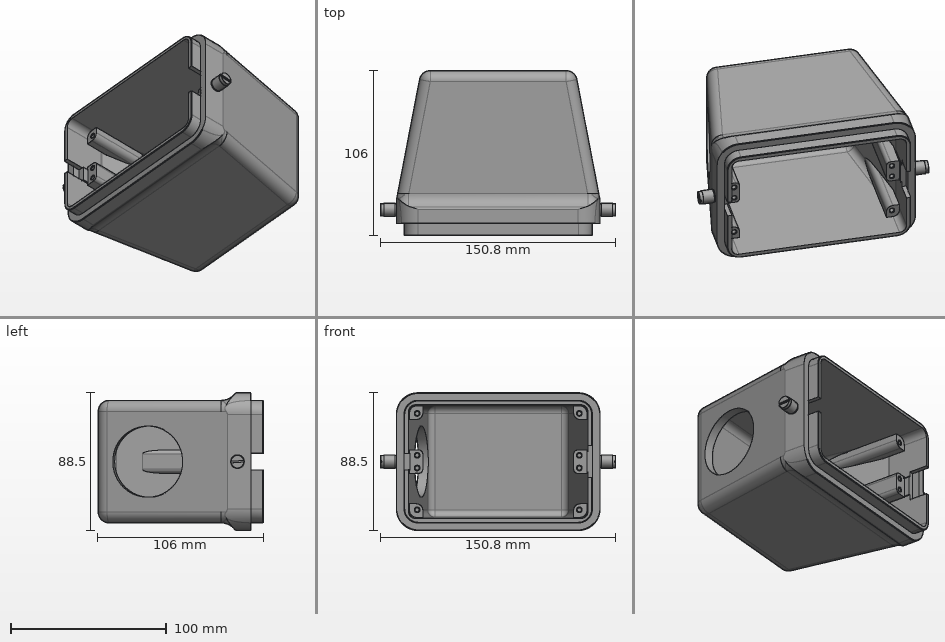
import cadquery as cq
import math


total_width = 150.8
total_depth = 106.0
flange_height = 88.5
flange_width = 130.7

collar_width = 121.0
collar_height = 78.7
collar_depth = 7.8
collar_corner = 9.0
flange_corner = 14.0
flange_back = 16.9
flare_end = 27.1
rim_round = 1.8
edge_break = 0.5

taper_start = 23.0
body_back_width = 99.0
body_round = 7.1

mouth_width = 115.2
mouth_height = 73.1
floor_width = 89.0
floor_height = 71.2
cavity_depth = 98.0
cavity_round = 4.7

pillar_face = 16.9
pillar_inner_x = 48.4
pillar_outer_x = 56.9
corner_pillar_inner_z = 27.0
corner_pillar_outer_z = 35.7
middle_pillar_height = 15.1
middle_pillar_round = 2.7
corner_pillar_round = 4.2
screw_x = 52.0
corner_screw_z = 30.9
middle_screw_z = 4.0
screw_diameter = 2.7
screw_countersink = 0.5
screw_depth = 12.0

cable_hole_diameter = 45.7
cable_hole_y = 74.2
cable_hole_reach = 18.1

left_notch_height = 10.5
left_ledge_x = 56.5
right_notch_height = 20.7
right_ledge_height = 13.5
notch_depth = 13.0

pin_y = 16.6
pin_diameter = 8.7
pin_neck_diameter = 8.1
pin_neck_length = 0.8
pin_cap_length = 2.1
pin_slot_width = 1.0
pin_slot_depth = 0.6
pin_slot_tilt = -4.0

body_height = collar_height
flare_rise = (flange_height - body_height) / 2
flare_length = flare_end - flange_back
flare_radius = (flare_length**2 + flare_rise**2) / (2 * flare_rise) - rim_round
flare_angle = math.asin(flare_length / (flare_radius + rim_round))
end_slope = (flange_width - body_back_width) / 2 / (total_depth - taper_start)
cavity_taper_start = cavity_depth - (mouth_width - floor_width) / 2 / end_slope


def box(x0, x1, y0, y1, z0, z1):
    """Box spanning the given limits."""
    return cq.Workplane("XY").box(x1 - x0, y1 - y0, z1 - z0, centered=False).translate((x0, y0, z0))


def rounded_block(width, height, corner, y0, y1):
    """Block along Y with a rounded rectangular section."""
    block = cq.Workplane("XY").box(width, y1 - y0, height).edges("|Y").fillet(corner)
    return block.translate((0, (y0 + y1) / 2, 0))


def make_body():
    """Tapered body with rounded edges, its wide end trimmed to the flange outline."""
    front_width = body_back_width + 2 * end_slope * total_depth
    outline = [
        (-front_width / 2, 0),
        (front_width / 2, 0),
        (body_back_width / 2, total_depth),
        (-body_back_width / 2, total_depth),
    ]
    body = cq.Workplane("XY").polyline(outline).close().extrude(body_height / 2, both=True)
    body = body.edges("not <Y").fillet(body_round)
    behind_collar = rounded_block(flange_width, flange_height, flange_corner, collar_depth, total_depth)
    return body.intersect(behind_collar)


def flare_section(plane):
    """Flange section: flat rim, rounded edge, then a hollow curve running out on the body."""
    rim = body_round + flare_rise

    def round_point(angle):
        return (rim - rim_round * (1 - math.cos(angle)), flange_back + rim_round * math.sin(angle))

    def hollow_point(angle):
        return (body_round + flare_radius * (1 - math.cos(angle)), flare_end - flare_radius * math.sin(angle))

    return (
        cq.Workplane(plane)
        .moveTo(0, collar_depth)
        .lineTo(rim, collar_depth)
        .lineTo(rim, flange_back)
        .threePointArc(round_point(flare_angle / 2), round_point(flare_angle))
        .threePointArc(hollow_point(flare_angle / 2), (body_round, flare_end))
        .lineTo(0, flare_end)
        .close()
    )


def make_flange():
    """Flange whose back flares down to the body along the long sides and round the corners."""
    axis_x = body_back_width / 2 + end_slope * (total_depth - flare_end) - body_round
    axis_z = body_height / 2 - body_round
    long_side = flare_section(cq.Plane((0, 0, axis_z), (0, 0, 1), (-1, 0, 0))).extrude(axis_x, both=True)
    flange = long_side.union(long_side.mirror("XY"))
    column = flare_section("XY").revolve(360, (0, 0, 0), (0, 1, 0))
    for x in (-axis_x, axis_x):
        for z in (-axis_z, axis_z):
            flange = flange.union(column.translate((x, 0, z)))
    rim = rounded_block(flange_width, flange_height, flange_corner, collar_depth, flare_end)
    rim = rim.faces("<Y").chamfer(edge_break)
    lower = rounded_block(flange_width, flange_height, flange_corner, collar_depth, flange_back)
    return flange.union(lower).intersect(rim)


def make_collar():
    """Collar around the mouth, reaching back into the flange."""
    collar = rounded_block(collar_width, collar_height, collar_corner, 0, flange_back)
    return collar.faces("<Y").chamfer(edge_break)


def make_cavity():
    """Cavity whose end walls run straight, then lean inward; its long walls are slightly drafted."""
    outline = [
        (-mouth_width / 2, 0),
        (mouth_width / 2, 0),
        (mouth_width / 2, cavity_taper_start),
        (floor_width / 2, cavity_depth),
        (-floor_width / 2, cavity_depth),
        (-mouth_width / 2, cavity_taper_start),
    ]
    cavity = cq.Workplane("XY").polyline(outline).close().extrude(mouth_height / 2, both=True)
    draft = [
        (0, -mouth_height / 2),
        (0, mouth_height / 2),
        (cavity_depth, floor_height / 2),
        (cavity_depth, -floor_height / 2),
    ]
    drafted = cq.Workplane("YZ").polyline(draft).close().extrude(mouth_width / 2, both=True)
    cavity = cavity.intersect(drafted)
    return cavity.edges("not <Y").fillet(cavity_round)


def pillar(z0, z1, rounded, radius):
    """Pillar along +Y at the +X end, with the chosen long edges rounded."""
    block = box(pillar_inner_x, pillar_outer_x, pillar_face, cavity_depth, z0, z1)
    return block.edges(rounded).fillet(radius)


def make_pillars(body):
    """Three pillars at each end, running from the pillar face into the leaning walls."""
    half_middle = middle_pillar_height / 2
    middle = pillar(-half_middle, half_middle, "|Y and <X", middle_pillar_round)
    opposite_edges = "(|Y and <X and <Z) or (|Y and >X and >Z)"
    corner = pillar(corner_pillar_inner_z, corner_pillar_outer_z, opposite_edges, corner_pillar_round)
    pillars = middle.union(corner).union(corner.mirror("XY"))
    return pillars.union(pillars.mirror("YZ")).intersect(body)


def make_screw_holes():
    """Blind holes in the pillar faces, each with a small countersink."""
    heights = (-corner_screw_z, -middle_screw_z, middle_screw_z, corner_screw_z)
    points = [(x, z) for x in (-screw_x, screw_x) for z in heights]
    face = cq.Workplane(cq.Plane((0, pillar_face, 0), (1, 0, 0), (0, -1, 0)))
    holes = face.pushPoints(points).circle(screw_diameter / 2).extrude(-screw_depth)
    rim = screw_diameter / 2 + screw_countersink
    cone = cq.Solid.makeCone(rim, screw_diameter / 2, screw_countersink, dir=cq.Vector(0, 1, 0))
    for x, z in points:
        holes = holes.union(cq.Workplane(cone.moved(cq.Location(cq.Vector(x, pillar_face, z)))))
    return holes


def make_cable_hole():
    """Round hole square to the leaning -X end wall."""
    wall_x = -body_back_width / 2 - end_slope * (total_depth - cable_hole_y)
    outward = (-1, end_slope, 0)
    wall = cq.Workplane(cq.Plane((wall_x, cable_hole_y, 0), (0, 0, 1), outward))
    return wall.circle(cable_hole_diameter / 2).extrude(cable_hole_reach, both=True)


def make_notches():
    """Notches at the middle of the collar ends, recessed on into the wall behind."""
    half_left = left_notch_height / 2
    half_right = right_notch_height / 2
    left = box(-collar_width / 2, -left_ledge_x, 0, notch_depth, -half_left, half_left)
    right = box(pillar_outer_x, collar_width / 2, 0, notch_depth, -half_right, half_right)
    return left.union(right)


def make_ledges():
    """Fillers joining the middle pillars to the end walls at the bottom of the notches."""
    half_left = left_notch_height / 2
    half_right = right_ledge_height / 2
    left = box(-collar_width / 2, -left_ledge_x, notch_depth, cavity_taper_start, -half_left, half_left)
    right = box(pillar_outer_x, collar_width / 2, notch_depth, cavity_taper_start, -half_right, half_right)
    return left.union(right)


def make_pin():
    """Locking pin on +X: necked at the wall, stepped down to a slotted cap at the tip."""
    tip = total_width / 2
    shank_start = flange_width / 2 + pin_neck_length
    shank_end = tip - pin_cap_length
    core = cq.Workplane("YZ", (collar_width / 2, pin_y, 0))
    core = core.circle(pin_neck_diameter / 2).extrude(tip - collar_width / 2)
    shank = cq.Workplane("YZ", (shank_start, pin_y, 0))
    shank = shank.circle(pin_diameter / 2).extrude(shank_end - shank_start)
    slot = cq.Workplane("YZ", (tip, pin_y, 0)).transformed(rotate=(0, 0, pin_slot_tilt))
    slot = slot.rect(pin_diameter, pin_slot_width).extrude(-pin_slot_depth)
    return core.union(shank).cut(slot)


body = make_body().union(make_flange()).union(make_collar())
hood = body.cut(make_cavity()).union(make_pillars(body)).union(make_ledges())
hood = hood.cut(make_cable_hole()).cut(make_notches()).cut(make_screw_holes())
pin = make_pin()
result = hood.union(pin).union(pin.mirror("YZ"))